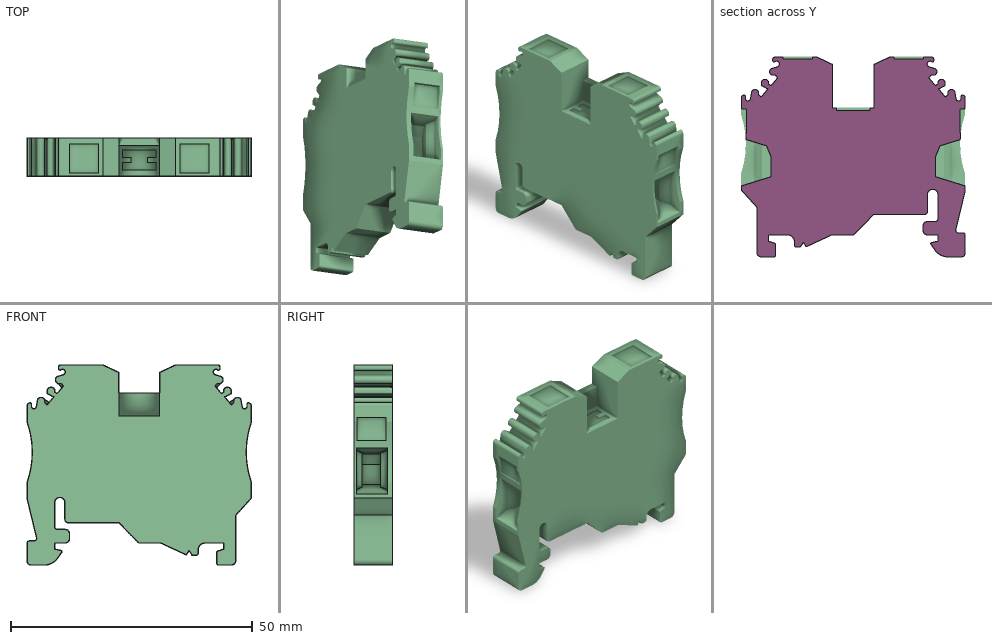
import cadquery as cq
import math

length = 46.5
thickness = 8.0
height = 41.5
end_x = -length / 2

saddle_half = 4.25
saddle_floor_z = 30.9
saddle_wall_top_z = 35.7
saddle_wall_thickness = 1.6
shoulder_run = 3.25
shoulder_drop = 1.55

waist_top_z = 29.6
waist_bottom_z = 17.15
waist_depth = 1.05
waist_edge_radius = 0.95
waist_mid_z = (waist_top_z + waist_bottom_z) / 2

split_z = 15.35
rail_seat_z = 4.55
left_seat_x = -17.5
right_seat_x = -left_seat_x

flex_slot_width = 2.05
flex_slot_top_z = 14.0
flex_slot_bottom_z = 7.45
flex_slot_x = left_seat_x + flex_slot_width
flex_slot_top_radius = 0.98

label_size = 6.0
label_y = 3.67
top_label_x = -11.5
top_label_depth = 0.4
end_label_top_z = 30.6
end_label_bottom_z = 25.8
end_label_floor_x = -22.15

bridge_length = 6.9
bridge_front_y = 1.3
bridge_back_y = 5.45
bridge_web = 3.35
bridge_notch_height = 0.98
bridge_depth = 0.45

funnel_floor_z = 14.8
funnel_ceiling_z = 24.65
funnel_slope = 0.31
funnel_throat_depth = 5.25
funnel_back_depth = 6.15
funnel_back_top_z = 20.85
funnel_front_y = 0.5
funnel_back_y = 6.95
throat_front_y = 1.65
throat_back_y = 5.5
taper_start_depth = 2.85
taper_end_depth = 4.4

tooth_web_thickness = 0.3


def mirrored(solid):
    """The solid together with its mirror image about x = 0."""
    return solid.union(solid.mirror("YZ"))


def slab(outline, back_y=thickness, front_y=0.0):
    """Extrude a closed XZ outline from front_y to back_y."""
    return outline.extrude(front_y - back_y).translate((0, front_y, 0))


def box(x_range, y_range, z_range):
    """Axis-aligned box given by its limits."""
    sizes = [high - low for low, high in (x_range, y_range, z_range)]
    corner = (x_range[0], y_range[0], z_range[0])
    return cq.Workplane("XY").box(*sizes, centered=False).translate(corner)


def rounded_outline(corners):
    """Closed XZ outline from (x, z, radius) corners, each rounded by a tangent arc."""
    outline = None
    for i, (x, z, radius) in enumerate(corners):
        corner = cq.Vector(x, z)
        to_last = (cq.Vector(*corners[i - 1][:2]) - corner).normalized()
        to_next = (cq.Vector(*corners[(i + 1) % len(corners)][:2]) - corner).normalized()
        half_angle = to_last.getAngle(to_next) / 2
        tangent = radius / math.tan(half_angle)
        start = (corner + to_last * tangent).toTuple()[:2]
        outline = outline.lineTo(*start) if outline else cq.Workplane("XZ").moveTo(*start)
        if radius:
            bisector = (to_last + to_next).normalized()
            middle = corner + bisector * (radius / math.sin(half_angle) - radius)
            end = corner + to_next * tangent
            outline = outline.threePointArc(middle.toTuple()[:2], end.toTuple()[:2])
    return outline.close()


def upper_half():
    """Left upper half: saddle, shoulder, row of grip teeth and concave waist."""
    outline = (
        cq.Workplane("XZ")
        .moveTo(0, split_z)
        .lineTo(0, saddle_floor_z)
        .lineTo(-saddle_half, saddle_floor_z)
        .lineTo(-saddle_half, height - shoulder_drop)
        .lineTo(-saddle_half - shoulder_run, height)
        .lineTo(-16.3, height)
        .threePointArc((-16.6, 41.35), (-16.75, 41.05))
        .lineTo(-16.75, 40.75)
        .threePointArc((-16.6, 40.45), (-16.3, 40.35))
        .lineTo(-16.1, 40.55)
        .threePointArc((-15.4, 40.18), (-15.7, 39.5))
        .lineTo(-16.95, 39.1)
        .threePointArc((-17.4, 38.35), (-16.9, 37.65))
        .lineTo(-16.2, 37.65)
        .lineTo(-15.7, 37.15)
        .lineTo(-17.0, 35.55)
        .lineTo(-17.5, 35.85)
        .lineTo(-17.5, 36.3)
        .threePointArc((-18.35, 36.87), (-19.1, 36.22))
        .lineTo(-19.1, 35.7)
        .threePointArc((-19.0, 35.53), (-18.85, 35.45))
        .lineTo(-17.95, 34.9)
        .lineTo(-17.65, 34.9)
        .lineTo(-19.1, 33.2)
        .lineTo(-19.6, 33.75)
        .lineTo(-19.6, 34.3)
        .threePointArc((-20.4, 34.8), (-21.1, 34.22))
        .lineTo(-21.35, 32.85)
        .threePointArc((-21.85, 32.4), (-22.3, 32.85))
        .lineTo(-22.3, 33.3)
        .threePointArc((-22.4, 33.55), (-22.6, 33.65))
        .lineTo(-22.9, 33.55)
        .threePointArc((-23.15, 33.35), (end_x, 33.0))
        .lineTo(end_x, waist_top_z)
        .threePointArc((end_x + waist_depth, waist_mid_z), (end_x, waist_bottom_z))
        .lineTo(end_x, split_z)
        .close()
    )
    half = slab(outline)
    for edge_z in (waist_top_z, waist_bottom_z):
        edge = cq.selectors.NearestToPointSelector((end_x, thickness / 2, edge_z))
        half = half.edges("|Y").edges(edge).fillet(waist_edge_radius)
    return half


def tooth_gap_webs():
    """Thin skins on the back that fill one corner of each flat-bottomed gap."""
    web_corners = (
        [(-16.9, 37.65), (-16.2, 37.65), (-15.7, 37.15), (-16.05, 36.8)],
        [(-19.6, 34.3), (-18.65, 33.75), (-19.1, 33.2), (-19.6, 33.75)],
    )
    webs = cq.Workplane("XY")
    for corners in web_corners:
        outline = cq.Workplane("XZ").polyline(corners).close()
        webs = webs.add(slab(outline, front_y=thickness - tooth_web_thickness))
    return webs.combine()


def lower_body():
    """Mounting side: left spring foot, rail seat with a small latch and right hook foot."""
    return slab(rounded_outline([
        (end_x, split_z, 0),
        (end_x, 13.75, 1.4),
        (-21.15, 5.05, 0.45),
        (end_x, 5.05, 0.55),
        (end_x, 0, 0.85),
        (-17.95, 0, 3.25),
        (-15.8, 2.98, 0.3),
        (left_seat_x, 3.35, 0),
        (left_seat_x, rail_seat_z, 0),
        (-14.4, rail_seat_z, 0.98),
        (-14.4, flex_slot_bottom_z, 0.98),
        (left_seat_x, flex_slot_bottom_z, 0.45),
        (left_seat_x, flex_slot_top_z, flex_slot_top_radius),
        (flex_slot_x, flex_slot_top_z, flex_slot_top_radius),
        (flex_slot_x, 8.75, 0.8),
        (-4.2, 8.75, 0),
        (-0.1, rail_seat_z, 0),
        (4.45, rail_seat_z, 0),
        (9.75, 2.1, 0),
        (10.3, 3.0, 0),
        (10.95, 2.05, 0),
        (12.25, 2.05, 0.45),
        (12.25, rail_seat_z, 1.4),
        (right_seat_x, rail_seat_z, 0),
        (right_seat_x, 3.35, 0),
        (16.05, 2.85, 0.25),
        (16.05, 0, 0.4),
        (20.05, 0, 1.0),
        (20.05, 10.35, 0),
        (-end_x, 13.9, 0),
        (-end_x, split_z, 0),
    ]))


def saddle_wall():
    """Partition on the back of the saddle."""
    return box(
        (-saddle_half, saddle_half),
        (thickness - saddle_wall_thickness, thickness),
        (saddle_floor_z, saddle_wall_top_z),
    )


def bridge_recess():
    """H-shaped recess: a rectangle less a notch in the middle of each end."""
    z_range = (saddle_floor_z - bridge_depth, saddle_floor_z)
    middle_y = (bridge_front_y + bridge_back_y) / 2
    notch_y = (middle_y - bridge_notch_height / 2, middle_y + bridge_notch_height / 2)
    recess = box((-bridge_length / 2, bridge_length / 2), (bridge_front_y, bridge_back_y), z_range)
    return recess.cut(mirrored(box((-bridge_length / 2, -bridge_web / 2), notch_y, z_range)))


def label_recesses():
    """Shallow square recesses in the top and in the end of the left side."""
    half = label_size / 2
    y_range = (label_y - half, label_y + half)
    top = box((top_label_x - half, top_label_x + half), y_range, (height - top_label_depth, height))
    end = box((end_x, end_label_floor_x), y_range, (end_label_bottom_z, end_label_top_z))
    return top.union(end)


def wire_funnel():
    """Wire entry: a side profile with sloped floor and ceiling, narrowed in plan."""
    throat_x = end_x + funnel_throat_depth
    back_x = end_x + funnel_back_depth
    profile = cq.Workplane("XZ").polyline([
        (end_x, funnel_floor_z),
        (back_x, funnel_floor_z + funnel_slope * funnel_back_depth),
        (back_x, funnel_back_top_z),
        (throat_x, funnel_ceiling_z - funnel_slope * funnel_throat_depth),
        (end_x, funnel_ceiling_z),
    ]).close()
    plan = cq.Workplane("XY").polyline([
        (end_x, funnel_front_y),
        (end_x + taper_start_depth, funnel_front_y),
        (end_x + taper_end_depth, throat_front_y),
        (back_x, throat_front_y),
        (back_x, throat_back_y),
        (end_x + taper_end_depth, throat_back_y),
        (end_x + taper_start_depth, funnel_back_y),
        (end_x, funnel_back_y),
    ]).close()
    return slab(profile).intersect(plan.extrude(height))


body = mirrored(upper_half().union(tooth_gap_webs())).union(lower_body())
body = body.union(saddle_wall()).cut(bridge_recess())
body = body.cut(mirrored(label_recesses())).cut(mirrored(wire_funnel()))
result = body.clean()